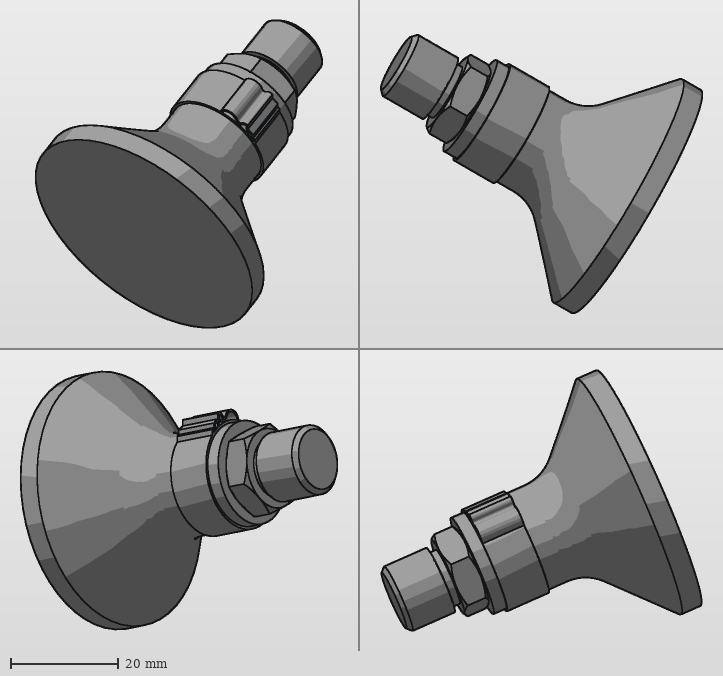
import cadquery as cq
import math


cup_diameter = 48.0
neck_diameter = 19.6
thread_diameter = 13.16
undercut_diameter = 11.0
hex_across_flats = 15.0

rim_height = 4.0
neck_start = 21.0
neck_end = 36.0
hex_end = 41.0
undercut_end = 42.5
overall_length = 52.0
thread_chamfer = 0.9

flare_radius = 8.9
flare_angle = math.radians(47.0)
hex_chamfer_angle = math.radians(30.0)

clamp_start = 25.0
clamp_width = 8.5
band_thickness = 0.5
strip_thickness = 0.4
band_inner_diameter = 19.7
band_inner_radius = band_inner_diameter / 2
band_outer_radius = band_inner_radius + band_thickness

arch_radius = 1.95
arch_center_x = 2.75
arch_center_z = 9.95

valley_radius = 0.5

hook_radius = 0.9
hook_center_x = 6.3
hook_center_z = 9.75
hook_end_x = 6.9

tab_corner_x = 7.75
tab_corner_z = 8.6
tab_slope = 0.84
tab_end_x = 8.1
tab_end_z = 8.3
lip_start_z = 7.4
lip_end_x = 8.5
lip_end_z = 7.0

bore_level = band_inner_radius / 2


def cylinder(diameter, start, end):
    """Solid cylinder on the Y axis between two stations."""
    sketch = cq.Workplane("XZ", origin=(0, start, 0)).circle(diameter / 2)
    return sketch.extrude(start - end)


def make_cup():
    """Rim, cone, flare and neck, revolved about Y."""
    neck_radius = neck_diameter / 2
    flare_center_x = neck_radius + flare_radius

    def flare_point(angle):
        return (
            flare_center_x - flare_radius * math.cos(angle),
            neck_start - flare_radius * math.sin(angle),
        )

    profile = (
        cq.Workplane("XY")
        .lineTo(cup_diameter / 2, 0)
        .lineTo(cup_diameter / 2, rim_height)
        .lineTo(*flare_point(flare_angle))
        .threePointArc(flare_point(flare_angle / 2), (neck_radius, neck_start))
        .lineTo(neck_radius, neck_end)
        .lineTo(0, neck_end)
        .close()
    )
    return profile.revolve(360, (0, 0, 0), (0, 1, 0))


def make_hexagon():
    """Hexagon with corners on Z, both ends turned to a cone."""
    flat_radius = hex_across_flats / 2
    corner_radius = flat_radius / math.cos(math.pi / 6)
    chamfer_height = (corner_radius - flat_radius) * math.tan(hex_chamfer_angle)
    corners = [
        (
            corner_radius * math.sin(i * math.pi / 3),
            corner_radius * math.cos(i * math.pi / 3),
        )
        for i in range(6)
    ]
    hexagon = (
        cq.Workplane("XZ", origin=(0, neck_end, 0))
        .polyline(corners)
        .close()
        .extrude(neck_end - hex_end)
    )
    turned_envelope = (
        cq.Workplane("XY", origin=(0, neck_end, 0))
        .lineTo(flat_radius, 0)
        .lineTo(corner_radius, chamfer_height)
        .lineTo(corner_radius, hex_end - neck_end - chamfer_height)
        .lineTo(flat_radius, hex_end - neck_end)
        .lineTo(0, hex_end - neck_end)
        .close()
        .revolve(360, (0, 0, 0), (0, 1, 0))
    )
    return hexagon.intersect(turned_envelope)


def make_stud():
    """Undercut and chamfered threaded end."""
    undercut = cylinder(undercut_diameter, hex_end, undercut_end)
    thread = cylinder(thread_diameter, undercut_end, overall_length)
    return undercut.union(thread.faces(">Y").chamfer(thread_chamfer))


def clamp_sketch(x, z):
    """Sketch at the front edge of the clamp, starting from one point."""
    return cq.Workplane("XZ", origin=(0, clamp_start, 0)).moveTo(x, z)


def valley_center():
    """Center of the arc that touches the arch and the hook from above."""
    span_x = hook_center_x - arch_center_x
    span_z = hook_center_z - arch_center_z
    span = math.hypot(span_x, span_z)
    arch_distance = arch_radius + valley_radius
    hook_distance = hook_radius + valley_radius
    along = (arch_distance**2 - hook_distance**2 + span**2) / (2 * span)
    across = math.sqrt(arch_distance**2 - along**2)
    return (
        arch_center_x + (along * span_x - across * span_z) / span,
        arch_center_z + (along * span_z + across * span_x) / span,
    )


def ear_outline(inset):
    """Closed outline of the arch, valley and hook, moved inward by an inset."""
    arch = arch_radius - inset
    valley = valley_radius + inset
    hook = hook_radius - inset
    valley_x, valley_z = valley_center()

    def toward_valley(x, z, radius):
        """Point where a circle touches the valley arc."""
        share = radius / (radius + valley)
        return (x + share * (valley_x - x), z + share * (valley_z - z))

    end_x = hook_end_x - inset
    end_z = hook_center_z + math.sqrt(hook**2 - (end_x - hook_center_x) ** 2)
    return (
        clamp_sketch(arch_center_x - arch, bore_level)
        .lineTo(arch_center_x - arch, arch_center_z)
        .threePointArc(
            (arch_center_x, arch_center_z + arch),
            toward_valley(arch_center_x, arch_center_z, arch),
        )
        .threePointArc(
            (valley_x, valley_z - valley),
            toward_valley(hook_center_x, hook_center_z, hook),
        )
        .threePointArc((hook_center_x, hook_center_z + hook), (end_x, end_z))
        .lineTo(end_x, bore_level)
        .close()
    )


def tab_outline(inset):
    """Closed outline of the tab and its lip, moved inward by an inset."""
    start_x = hook_end_x - strip_thickness
    start_z = tab_corner_z + tab_slope * (tab_corner_x - start_x)
    outline = (
        clamp_sketch(start_x, bore_level)
        .lineTo(start_x, start_z)
        .lineTo(tab_corner_x, tab_corner_z)
        .lineTo(tab_end_x, tab_end_z)
        .lineTo(tab_end_x, lip_start_z)
        .lineTo(lip_end_x, lip_end_z)
        .lineTo(lip_end_x, bore_level)
        .close()
    )
    if inset == 0:
        return outline
    return outline.offset2D(-inset, "intersection")


def bent_strip(outline):
    """Hollow lobe of sheet metal that follows a closed outline."""
    outer = outline(0).extrude(-clamp_width)
    inner = outline(strip_thickness).extrude(-clamp_width)
    return outer.cut(inner)


def make_clamp():
    """Round band with its ear and tab."""
    clamp_end = clamp_start + clamp_width
    clamp = cylinder(2 * band_outer_radius, clamp_start, clamp_end)
    for outline in (ear_outline, tab_outline):
        clamp = clamp.union(bent_strip(outline))
    return clamp.cut(cylinder(2 * band_inner_radius, clamp_start, clamp_end))


suction_cup = make_cup().union(make_hexagon()).union(make_stud())
hose_clamp = make_clamp()

result = cq.Compound.makeCompound([suction_cup.val(), hose_clamp.val()])